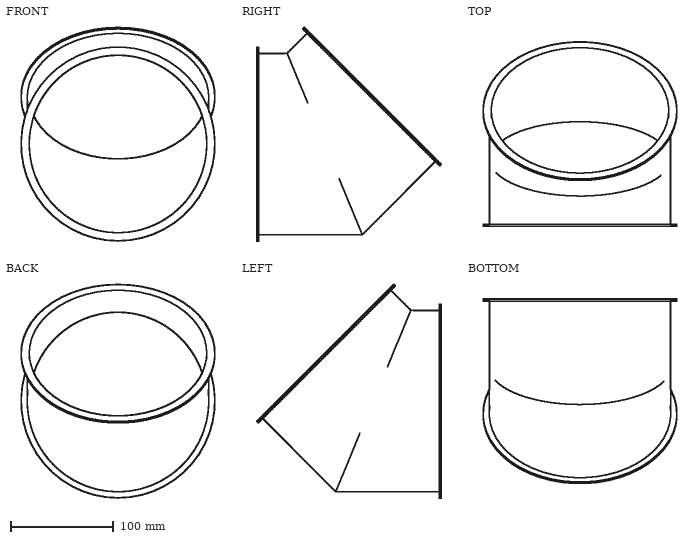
import cadquery as cq
import math

overall_height = 209.3
bend_angle = 45.0
bore_diameter = 174.0
tube_diameter = 178.0
flange_diameter = 190.0
flange_thickness = 2.0

bend = math.radians(bend_angle)
flange_radius = flange_diameter / 2
leg_length = (overall_height - flange_radius - flange_radius * math.cos(bend)) / math.sin(bend)

inlet_direction = cq.Vector(0, -1, 0)
outlet_direction = cq.Vector(0, math.cos(bend), math.sin(bend))
miter_normal = (outlet_direction - inlet_direction).normalized()


def cylinder(diameter, length, start, direction):
    """Solid cylinder starting at a distance along an axis through the bend centre."""
    return cq.Workplane(
        cq.Solid.makeCylinder(diameter / 2, length, direction * start, direction)
    )


def leg(direction, miter_side):
    """Flanged tube trimmed by the miter plane on the given side of the bend."""
    overrun = tube_diameter
    length = leg_length + overrun
    block_size = 3 * overall_height

    tube = cylinder(tube_diameter, length, -overrun, direction)
    bore = cylinder(bore_diameter, length, -overrun, direction)
    flange_start = leg_length - flange_thickness
    flange = cylinder(flange_diameter, flange_thickness, flange_start, direction)

    miter_plane = cq.Plane(origin=(0, 0, 0), xDir=(1, 0, 0), normal=miter_normal * miter_side)
    keep_block = cq.Workplane(miter_plane).rect(block_size, block_size).extrude(block_size)
    return tube.intersect(keep_block).union(flange).cut(bore.intersect(keep_block))


inlet = leg(inlet_direction, -1)
outlet = leg(outlet_direction, 1)
result = inlet.union(outlet)